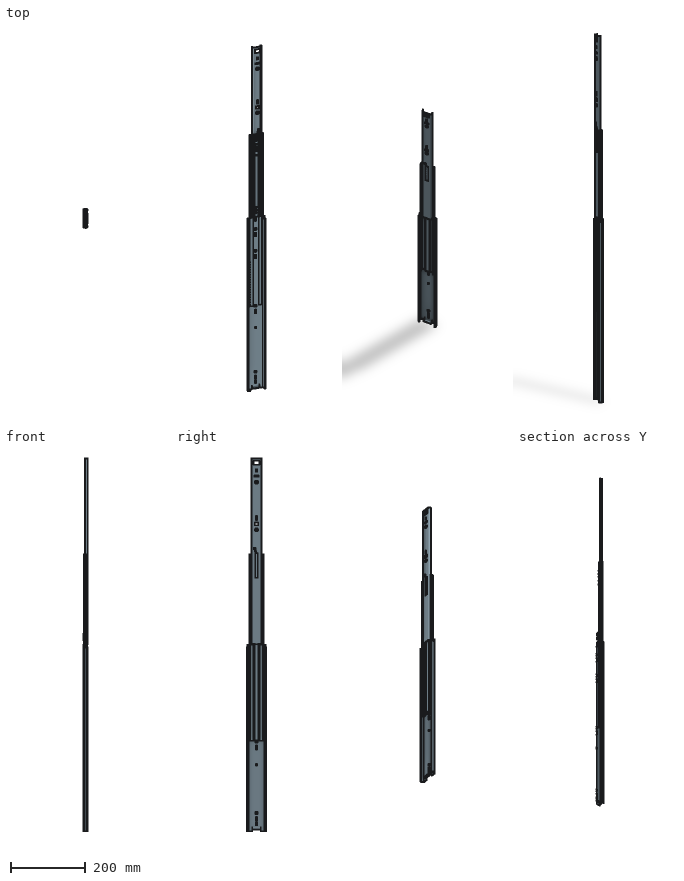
import cadquery as cq
import math


OVERALL = 1000.0
DEPTH = 13.0
WIDTH = 52.0
SHEET = 1.5

OUTER_TOP = OVERALL / 2
MIDDLE_TOP = 743.0
MIDDLE_BOTTOM = MIDDLE_TOP - OVERALL / 2
INNER_BOTTOM = 502.0

SLOT_WIDTH = 3.0
SLOT_LENGTH = 10.0
BORE_RADIUS = 2.0


def mirrored(half_path):
    """Path from +Y to -Y, given its +Y half."""
    return half_path + [(x, -y) for x, y in reversed(half_path)]


def offset_path(path, distance):
    """Points of an open path moved to its left by `distance`, with mitred corners."""
    normals = []
    for (x0, y0), (x1, y1) in zip(path, path[1:]):
        length = math.hypot(x1 - x0, y1 - y0)
        normals.append(((y0 - y1) / length, (x1 - x0) / length))
    before = [normals[0]] + normals
    after = normals + [normals[-1]]
    moved = []
    for (x, y), (ax, ay), (bx, by) in zip(path, before, after):
        reach = distance / (1 + ax * bx + ay * by)
        moved.append((x + reach * (ax + bx), y + reach * (ay + by)))
    return moved


def block(x_range, y_range, z_range):
    """Box between the given limits."""
    (x0, x1), (y0, y1), (z0, z1) = x_range, y_range, z_range
    return cq.Workplane("XY").box(x1 - x0, y1 - y0, z1 - z0, centered=False).translate((x0, y0, z0))


def window(width, height, z):
    """Cutter for a rectangular window along X, centred at height z."""
    return block((0, DEPTH), (-width / 2, width / 2), (z - height / 2, z + height / 2))


def round_hole(radius, z):
    """Cutter for a round hole along X."""
    return cq.Workplane("YZ").center(0, z).circle(radius).extrude(DEPTH)


def countersunk_hole(radius, rear, z):
    """Cutter for a tapered hole through a sheet, widest at the rear face at X = rear."""
    axis = cq.Vector(1, 0, 0)
    return cq.Workplane(
        cq.Solid.makeCone(radius, BORE_RADIUS, SHEET, cq.Vector(rear, 0, z), axis)
    )


def cut_all(body, cutters):
    for cutter in cutters:
        body = body.cut(cutter)
    return body


RACE_RADIUS = 4.5
RACE_X = 7.5
RACE_Y = WIDTH / 2 - RACE_RADIUS
RACE_START = math.radians(125)
WEB_HALF = 21.3
FLANGE_SETBACK = 7.0
FLANGE_START = 4.0

PITCH = 32.0
OUTER_MOUNT_RADIUS = 3.3
MOUNT_BOTTOM = 49.0
MOUNT_STEPS = (0, 6, 11, 13)
SLOT_DROP = 16.0
PILOT_Z = 178.0
PILOT_RADIUS = 2.0
LOW_SLOT_Z = 20.0
LOW_SLOT_LENGTH = 7.0
NOTCH_WIDTH = 4.0
NOTCH_DEPTH = 11.0

TAB_HALF = 11.0
TAB_BOTTOM = 4.0
TAB_BEND = 5.0
TAB_REACH = 9.0


def race_point(radius, angle):
    return (RACE_X + radius * math.cos(angle), RACE_Y + radius * math.sin(angle))


def outer_profile():
    """+Y half of the cross-section: flat web, corner bend and rounded race."""
    inside_radius = RACE_RADIUS - SHEET
    half_angle = RACE_START / 2
    return (
        cq.Workplane("XY")
        .moveTo(0, 0)
        .lineTo(0, WEB_HALF)
        .tangentArcPoint(race_point(RACE_RADIUS, RACE_START), relative=False)
        .threePointArc(race_point(RACE_RADIUS, half_angle), race_point(RACE_RADIUS, 0))
        .lineTo(*race_point(inside_radius, 0))
        .threePointArc(race_point(inside_radius, half_angle), race_point(inside_radius, RACE_START))
        .lineTo(SHEET, WEB_HALF)
        .lineTo(SHEET, 0)
        .close()
    )


def stop_tab(bend_top):
    """Tab of the web, bent towards +X just above the bottom end."""
    outside = TAB_BEND + SHEET
    swing = math.sqrt(0.5)
    profile = (
        cq.Workplane("XZ")
        .moveTo(0, bend_top)
        .threePointArc((outside * (1 - swing), bend_top - outside * swing), (outside, TAB_BOTTOM))
        .lineTo(TAB_REACH, TAB_BOTTOM)
        .lineTo(TAB_REACH, TAB_BOTTOM + SHEET)
        .lineTo(outside, TAB_BOTTOM + SHEET)
        .threePointArc((outside - TAB_BEND * swing, bend_top - TAB_BEND * swing), (SHEET, bend_top))
        .close()
    )
    return profile.extrude(TAB_HALF, both=True)


def make_outer_rail():
    half_rail = outer_profile().extrude(OUTER_TOP)
    rail = half_rail.union(half_rail.mirror("XZ")).clean()
    setback = block(
        (FLANGE_START, DEPTH), (-WIDTH / 2, WIDTH / 2), (OUTER_TOP - FLANGE_SETBACK, OUTER_TOP)
    )
    bend_top = TAB_BOTTOM + TAB_BEND + SHEET
    tab_opening = block((0, DEPTH), (-TAB_HALF, TAB_HALF), (0, bend_top))
    mounts = [MOUNT_BOTTOM + PITCH * step for step in MOUNT_STEPS]
    cutters = [setback, tab_opening]
    cutters += [countersunk_hole(OUTER_MOUNT_RADIUS, 0, z) for z in mounts]
    cutters += [window(SLOT_WIDTH, SLOT_LENGTH, z - SLOT_DROP) for z in mounts]
    cutters += [
        round_hole(PILOT_RADIUS, PILOT_Z),
        window(SLOT_WIDTH, LOW_SLOT_LENGTH, LOW_SLOT_Z),
        window(NOTCH_WIDTH, 2 * NOTCH_DEPTH, OUTER_TOP),
    ]
    return cut_all(rail, cutters).union(stop_tab(bend_top))


MIDDLE_HALF = 19.8
MIDDLE_REAR = 1.6
MIDDLE_FRONT = 11.0
MIDDLE_BEVEL = 1.8
LIP_SIZE = 2.5
PLATEAU_X = 2.6
PLATEAU_OUT = 14.2
PLATEAU_IN = 8.0
CHANNEL_DEPTH = 3.0

MIDDLE_NOTCH_DEPTH = 19.0
MIDDLE_WINDOWS = (
    (4.0, 3.0, 714.0),
    (4.0, 12.0, 700.0),
    (4.0, 2.0, 682.0),
)


def make_middle_rail():
    path = mirrored([
        (MIDDLE_FRONT, MIDDLE_HALF - LIP_SIZE),
        (MIDDLE_FRONT - LIP_SIZE, MIDDLE_HALF),
        (MIDDLE_REAR + MIDDLE_BEVEL, MIDDLE_HALF),
        (MIDDLE_REAR, MIDDLE_HALF - MIDDLE_BEVEL),
        (PLATEAU_X, PLATEAU_OUT),
        (PLATEAU_X, PLATEAU_IN),
        (PLATEAU_X + CHANNEL_DEPTH, PLATEAU_IN - CHANNEL_DEPTH),
    ])
    outline = path + offset_path(path, SHEET)[::-1]
    rail = (
        cq.Workplane("XY")
        .workplane(offset=MIDDLE_BOTTOM)
        .polyline(outline)
        .close()
        .extrude(MIDDLE_TOP - MIDDLE_BOTTOM)
    )
    cutters = [window(SLOT_WIDTH, 2 * MIDDLE_NOTCH_DEPTH, MIDDLE_TOP)]
    cutters += [window(*sizes) for sizes in MIDDLE_WINDOWS]
    return cut_all(rail, cutters)


STOP_BOTTOM = 512.0
STOP_TOP = 529.0
STOP_HALF = 10.5
FOOT_HALF = 12.5
FOOT_HEIGHT = 4.0
RIVET_RADIUS = 4.2
RIVET_Z = 520.0


def make_stop_plate():
    thickness = (PLATEAU_X - SHEET, PLATEAU_X)
    plate = block(thickness, (-STOP_HALF, STOP_HALF), (STOP_BOTTOM, STOP_TOP))
    foot = block(thickness, (-FOOT_HALF, FOOT_HALF), (STOP_BOTTOM, STOP_BOTTOM + FOOT_HEIGHT))
    return plate.union(foot).cut(countersunk_hole(RIVET_RADIUS, PLATEAU_X - SHEET, RIVET_Z))


INNER_HALF = 14.0
INNER_REAR = 5.0
INNER_BEND = 2.5
INNER_MOUNT_RADIUS = 4.2
INNER_MOUNTS = (808.0, 936.0)
INNER_WINDOWS = (
    (15.0, 10.0, 988.0),
    (4.0, 6.0, 967.0),
    (11.0, 3.0, 952.0),
    (SLOT_WIDTH, SLOT_LENGTH, 840.0),
    (9.0, 7.0, 824.0),
)


def make_inner_rail():
    height = (INNER_BOTTOM, OVERALL)
    inside_half = INNER_HALF - SHEET
    outside = block((INNER_REAR, DEPTH), (-INNER_HALF, INNER_HALF), height)
    outside = outside.edges("|Z and >X").fillet(INNER_BEND + SHEET)
    inside = block((INNER_REAR, DEPTH - SHEET), (-inside_half, inside_half), height)
    inside = inside.edges("|Z and >X").fillet(INNER_BEND)
    cutters = [inside]
    cutters += [window(*sizes) for sizes in INNER_WINDOWS]
    cutters += [countersunk_hole(INNER_MOUNT_RADIUS, DEPTH - SHEET, z) for z in INNER_MOUNTS]
    return cut_all(outside, cutters)


LEVER_BOTTOM = 680.0
LEVER_SHOULDER = 746.0
LEVER_HALF = 4.0
ARM_WIDTH = 3.0
TIP_Y = -5.0
TIP_Z = 758.0
TIP_RADIUS = 2.5


def make_lever():
    plane = cq.Workplane("YZ").workplane(offset=DEPTH - 2 * SHEET)
    arm_root = LEVER_SHOULDER - ARM_WIDTH
    bar = (
        plane.center(0, (LEVER_BOTTOM + LEVER_SHOULDER) / 2)
        .rect(2 * LEVER_HALF, LEVER_SHOULDER - LEVER_BOTTOM)
        .extrude(SHEET)
    )
    arm = (
        plane.moveTo(-ARM_WIDTH / 2, arm_root)
        .lineTo(ARM_WIDTH / 2, arm_root)
        .lineTo(TIP_Y + ARM_WIDTH / 2, TIP_Z)
        .lineTo(TIP_Y - ARM_WIDTH / 2, TIP_Z)
        .close()
        .extrude(SHEET)
    )
    tip = plane.center(TIP_Y, TIP_Z).circle(TIP_RADIUS).extrude(SHEET)
    return bar.union(arm).union(tip)


outer_rail = make_outer_rail()
middle_rail = make_middle_rail()
stop_plate = make_stop_plate()
inner_rail = make_inner_rail()
lever = make_lever()

result = cq.Compound.makeCompound([
    outer_rail.val(),
    middle_rail.val(),
    stop_plate.val(),
    inner_rail.val(),
    lever.val(),
])